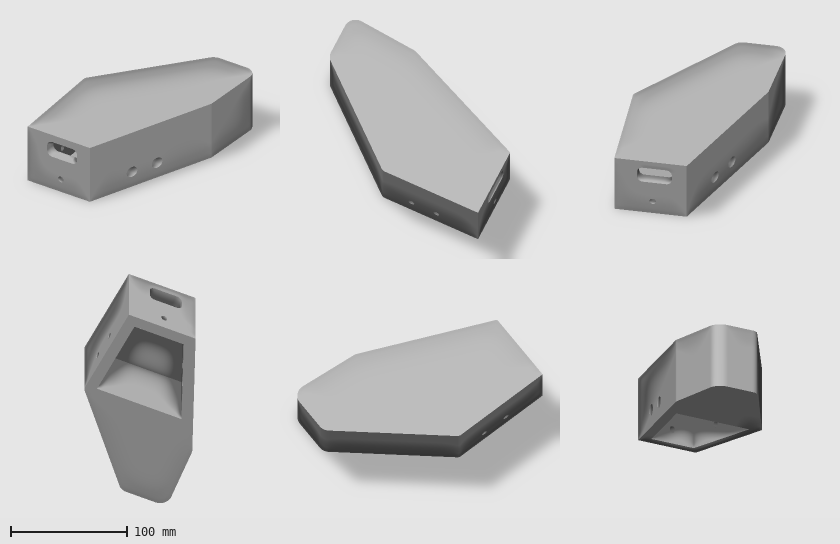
import cadquery as cq

height = 55.0
length = 180.0
front_width = 63.4
left_bend_y = 91.3
top_left_x = 76.5
top_right_x = 119.9
right_bend_x = 114.0
right_bend_y = 115.4
bend_radius = 5.0
end_radius = 10.0

wall = 10.0
roof = 5.0
cavity_end_y = 86.4

window_width = 30.5
window_height = 15.1
window_radius = 5.0
window_x = 35.1
window_z = 40.3

small_diameter = 5.5
access_diameter = 10.0
front_hole_x = 33.7
front_hole_z = 12.6
side_hole_ys = (40.0, 63.7)
side_hole_z = 15.0

right_slope = (right_bend_x - front_width) / right_bend_y


def right_side_x(y):
    """Outer face of the slanted right wall at a given Y."""
    return front_width + right_slope * y


def make_body():
    outline = [
        (0, 0),
        (front_width, 0),
        (right_bend_x, right_bend_y),
        (top_right_x, length),
        (top_left_x, length),
        (0, left_bend_y),
    ]
    body = cq.Workplane("XY").polyline(outline).close().extrude(height)
    rounded_corners = [
        (right_bend_x, right_bend_y, bend_radius),
        (top_right_x, length, end_radius),
        (top_left_x, length, end_radius),
        (0, left_bend_y, bend_radius),
    ]
    for x, y, radius in rounded_corners:
        corner = cq.selectors.NearestToPointSelector((x, y, height / 2))
        body = body.edges("|Z").edges(corner).fillet(radius)
    return body


def make_cavity():
    wall_run = wall * (1 + right_slope**2) ** 0.5
    outline = [
        (wall, wall),
        (right_side_x(wall) - wall_run, wall),
        (right_side_x(cavity_end_y) - wall_run, cavity_end_y),
        (wall, cavity_end_y),
    ]
    return cq.Workplane("XY").polyline(outline).close().extrude(height - roof)


def make_front_openings():
    window = (
        cq.Workplane("XY")
        .box(window_width, wall, window_height)
        .edges("|Y")
        .fillet(window_radius)
        .translate((window_x, wall / 2, window_z))
    )
    hole = (
        cq.Workplane("XZ", origin=(front_hole_x, 0, front_hole_z))
        .circle(small_diameter / 2)
        .extrude(-wall)
    )
    return window.union(hole)


def make_side_hole(y):
    """Small hole in the left wall with a larger, coaxial access hole in the right wall."""
    small = (
        cq.Workplane("YZ", origin=(0, y, side_hole_z))
        .circle(small_diameter / 2)
        .extrude(wall)
    )
    access = (
        cq.Workplane("YZ", origin=(front_width / 2, y, side_hole_z))
        .circle(access_diameter / 2)
        .extrude(right_bend_x - front_width / 2)
    )
    return small.union(access)


result = make_body().cut(make_cavity()).cut(make_front_openings())
for hole_y in side_hole_ys:
    result = result.cut(make_side_hole(hole_y))